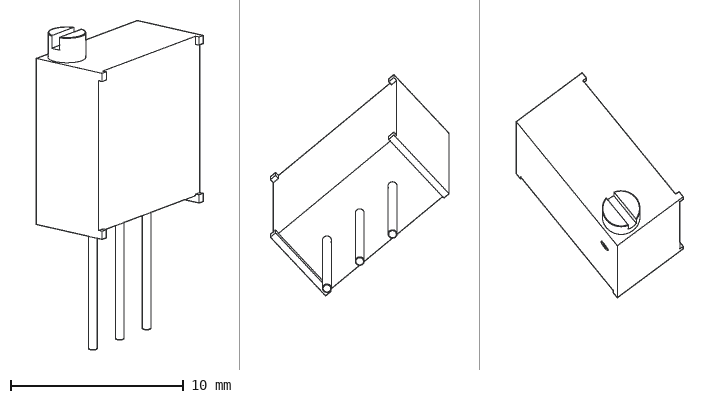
import cadquery as cq

housing_depth = 4.83
housing_width = 9.53
housing_height = 10.05

pad_thickness = 0.25
pad_width = 0.4
pad_height = 0.5
foot_height = 0.4
foot_width = 0.4

screw_diameter = 2.19
screw_height = 1.51
screw_edge_distance = 1.27
screw_edge_chamfer = 0.04
slot_width = 0.58
slot_depth = 0.77

total_height = 19.17
pin_length_below_feet = total_height - housing_height - screw_height
pin_diameter = 0.52
pin_pitch = 2.53
pin_count = 3
pin_chamfer = 0.04

mark_diameter = 0.65
mark_depth = 0.08
mark_offset_y = -3.55
mark_below_top = 3.09


def box(x_size, y_size, z_size, x_start, y_center, z_start):
    """Box placed by its low X and Z faces and its middle in Y."""
    block = cq.Workplane("XY").box(x_size, y_size, z_size, centered=(False, True, False))
    return block.translate((x_start, y_center, z_start))


def make_housing():
    core_depth = housing_depth - pad_thickness
    core_height = housing_height - foot_height
    housing = box(core_depth, housing_width, core_height, 0, 0, foot_height)
    for side in (-1, 1):
        foot_y = side * (housing_width - foot_width) / 2
        pad_y = side * (housing_width - pad_width) / 2
        housing = housing.union(box(core_depth, foot_width, foot_height, 0, foot_y, 0))
        for pad_z in (0, housing_height - pad_height):
            pad = box(pad_thickness, pad_width, pad_height, core_depth, pad_y, pad_z)
            housing = housing.union(pad)
    return housing


def make_screw():
    """Cylindrical screw head with a driver slot running along Y and a lightly chamfered rim."""
    screw_y = screw_edge_distance - housing_width / 2
    head = cq.Workplane("XY").circle(screw_diameter / 2).extrude(screw_height)
    head = head.faces(">Z").chamfer(screw_edge_chamfer)
    slot = box(slot_width, screw_diameter, slot_depth, -slot_width / 2, 0, screw_height - slot_depth)
    return head.cut(slot).translate((screw_edge_distance, screw_y, housing_height))


def make_pin(y):
    """Round pin hanging from the housing underside, chamfered at its tip."""
    pin = cq.Workplane("XY").circle(pin_diameter / 2).extrude(pin_length_below_feet + foot_height)
    pin = pin.faces("<Z").chamfer(pin_chamfer)
    return pin.translate((housing_depth / 2, y, -pin_length_below_feet))


def make_index_mark():
    mark_z = housing_height - mark_below_top
    disc = cq.Workplane("YZ").circle(mark_diameter / 2).extrude(mark_depth)
    return disc.translate((0, mark_offset_y, mark_z))


result = make_housing().union(make_screw()).cut(make_index_mark())
for index in range(pin_count):
    pin_y = (index - (pin_count - 1) / 2) * pin_pitch
    result = result.union(make_pin(pin_y))